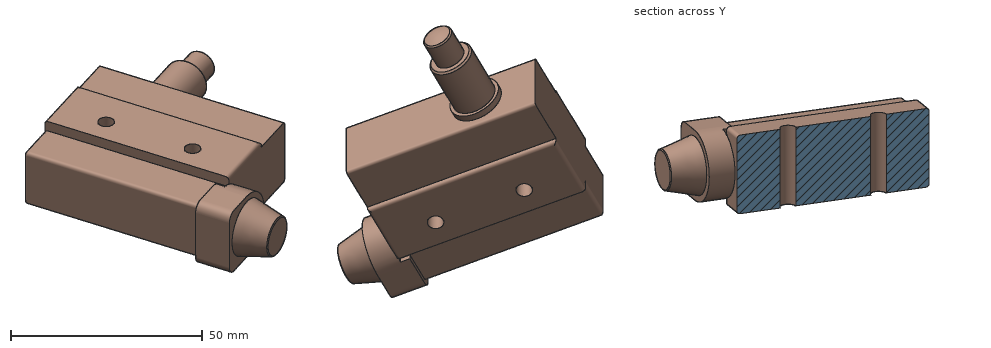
import cadquery as cq


body_length = 54.5
body_depth = 42.5
rear_height = 19.0
middle_start = 12.9
middle_end = 31.0
middle_height = 22.0
front_height = 16.0
rear_edge_radius = 0.9
edge_radius = 1.0

hole_diameter = 4.3
hole_count = 2
hole_spacing = 25.6
first_hole_x = 14.4
hole_depth_y = 24.0

plunger_x = 16.7
collar_diameter = 14.0
collar_end = 1.8
barrel_diameter = 12.0
barrel_end = 16.7
barrel_chamfer = 0.5
button_diameter = 8.1
button_end = 25.3
button_chamfer = 0.4
dome_rise = 0.7

cover_height = 19.4
cover_radius = cover_height / 2
cover_axis_y = 34.9
cover_front = 44.4
cover_end_x = 61.8
cover_corner_radius = 2.6
skirt_start_x = 51.8
skirt_start_y = 33.3

nozzle_base_diameter = 16.0
nozzle_tip_diameter = 11.0
nozzle_end_x = 71.0
nozzle_chamfer = 0.25


def band(start, end, height):
    """Housing block between two distances from the plunger-side face."""
    return (
        cq.Workplane("XY")
        .box(body_length, end - start, height, centered=(False, False, True))
        .translate((0, -end, 0))
    )


def make_housing():
    rear = band(0, middle_end, rear_height).edges("|X and >Y").fillet(rear_edge_radius)
    middle = band(middle_start, middle_end, middle_height)
    middle = middle.faces("<Z or >Z").edges("<X or >X or >Y").fillet(edge_radius)
    front = band(middle_start, body_depth, front_height)
    front = front.edges("<X and (>Z or <Z or <Y) or (<Y and >Z)").fillet(edge_radius)
    return rear.union(middle).union(front)


def make_plunger():
    button_radius = button_diameter / 2
    barrel_radius = barrel_diameter / 2
    collar_radius = collar_diameter / 2
    dome_rim = button_radius - button_chamfer
    dome_radius = (dome_rim**2 + dome_rise**2) / (2 * dome_rise)
    half_chord = dome_rim / 2
    dome_mid_y = button_end - dome_radius + (dome_radius**2 - half_chord**2) ** 0.5
    profile = (
        cq.Workplane("XY")
        .moveTo(0, -middle_start)
        .lineTo(barrel_radius, -middle_start)
        .lineTo(barrel_radius, 0)
        .lineTo(collar_radius, 0)
        .lineTo(collar_radius, collar_end)
        .lineTo(barrel_radius, collar_end)
        .lineTo(barrel_radius, barrel_end - barrel_chamfer)
        .lineTo(barrel_radius - barrel_chamfer, barrel_end)
        .lineTo(button_radius, barrel_end)
        .lineTo(button_radius, button_end - dome_rise - button_chamfer)
        .lineTo(dome_rim, button_end - dome_rise)
        .threePointArc((half_chord, dome_mid_y), (0, button_end))
        .close()
    )
    return profile.revolve(360, (0, 0, 0), (0, 1, 0)).translate((plunger_x, 0, 0))


def make_cover():
    cover_length = cover_end_x - skirt_start_x
    cover = (
        cq.Workplane("YZ", origin=(skirt_start_x, 0, 0))
        .moveTo(-cover_axis_y, cover_radius)
        .threePointArc((cover_radius - cover_axis_y, 0), (-cover_axis_y, -cover_radius))
        .lineTo(-cover_front, -cover_radius)
        .lineTo(-cover_front, cover_radius)
        .close()
        .extrude(cover_length)
        .edges("|X and <Y")
        .fillet(cover_corner_radius)
    )
    skirt_relief = (
        cq.Workplane("XY")
        .box(body_length, skirt_start_y, middle_height, centered=(False, False, True))
        .translate((0, -skirt_start_y, 0))
    )
    return cover.cut(skirt_relief)


def make_nozzle():
    return (
        cq.Workplane("YZ", origin=(cover_end_x, -cover_axis_y, 0))
        .circle(nozzle_base_diameter / 2)
        .workplane(offset=nozzle_end_x - cover_end_x)
        .circle(nozzle_tip_diameter / 2)
        .loft()
        .faces(">X")
        .chamfer(nozzle_chamfer)
    )


def make_holes():
    return (
        cq.Workplane("XY", origin=(0, 0, -middle_height / 2))
        .pushPoints([(first_hole_x + i * hole_spacing, -hole_depth_y) for i in range(hole_count)])
        .circle(hole_diameter / 2)
        .extrude(middle_height)
    )


solid_parts = make_housing().union(make_plunger()).union(make_cover()).union(make_nozzle())
result = solid_parts.cut(make_holes())